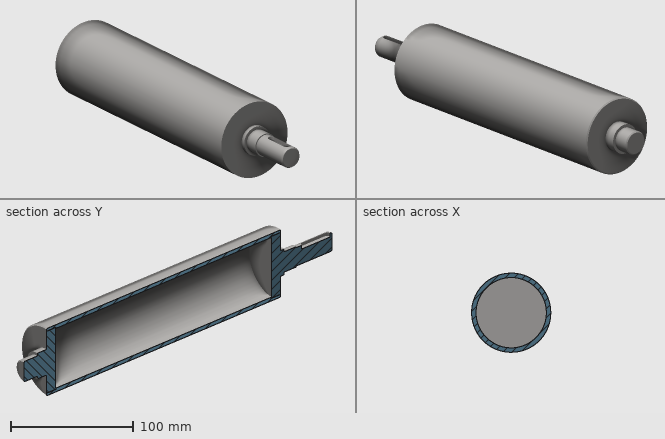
import cadquery as cq

total_length = 322.5
left_journal_end = 14.0
tube_start = 23.5
tube_length = 244.8
tube_end = tube_start + tube_length
right_shoulder_end = 272.2
right_journal_end = 284.8

tube_diameter = 65.0
bore_diameter = 57.0
plug_diameter = 59.0
plug_thickness = 9.7
tube_chamfer = 1.0

shoulder_diameter = 25.0
journal_diameter = 20.0
drive_diameter = 18.0
shaft_chamfer = 1.0
drive_chamfer_length = 1.5
drive_chamfer_height = 1.0

key_width = 6.0
key_length = 29.5
key_start = 290.5
key_depth = 3.5


def cylinder(diameter, start, end):
    """Solid cylinder on the X axis between two X positions."""
    return cq.Workplane("YZ", origin=(start, 0, 0)).circle(diameter / 2).extrude(end - start)


def make_tube():
    """Hollow roller tube, counterbored at both ends and chamfered on the left rim."""
    tube = cylinder(tube_diameter, tube_start, tube_end).faces("<X").chamfer(tube_chamfer)
    tube = tube.cut(cylinder(bore_diameter, tube_start, tube_end))
    tube = tube.cut(cylinder(plug_diameter, tube_start, tube_start + plug_thickness))
    return tube.cut(cylinder(plug_diameter, tube_end - plug_thickness, tube_end))


def make_left_journal():
    """Plug for the left tube end with its shoulder and bearing journal."""
    journal = cylinder(journal_diameter, 0, left_journal_end).faces("<X").chamfer(shaft_chamfer)
    shoulder = cylinder(shoulder_diameter, left_journal_end, tube_start)
    plug = cylinder(plug_diameter, tube_start, tube_start + plug_thickness)
    return plug.union(shoulder).union(journal)


def make_keyway():
    """Round-ended cutter that stands on the keyway floor."""
    floor_height = drive_diameter / 2 - key_depth
    return (
        cq.Workplane("XY", origin=(key_start + key_length / 2, 0, floor_height))
        .slot2D(key_length, key_width)
        .extrude(drive_diameter / 2)
    )


def make_drive_journal():
    """Plug for the right tube end with its shoulder, bearing journal and keyed drive end."""
    plug = cylinder(plug_diameter, tube_end - plug_thickness, tube_end)
    shoulder = cylinder(shoulder_diameter, tube_end, right_shoulder_end)
    journal = cylinder(journal_diameter, right_shoulder_end, right_journal_end)
    drive_end = cylinder(drive_diameter, right_journal_end, total_length)
    drive_end = drive_end.faces(">X").chamfer(drive_chamfer_length, drive_chamfer_height)
    return plug.union(shoulder).union(journal).union(drive_end).cut(make_keyway())


tube = make_tube()
left_journal = make_left_journal()
drive_journal = make_drive_journal()

result = cq.Compound.makeCompound([tube.val(), left_journal.val(), drive_journal.val()])